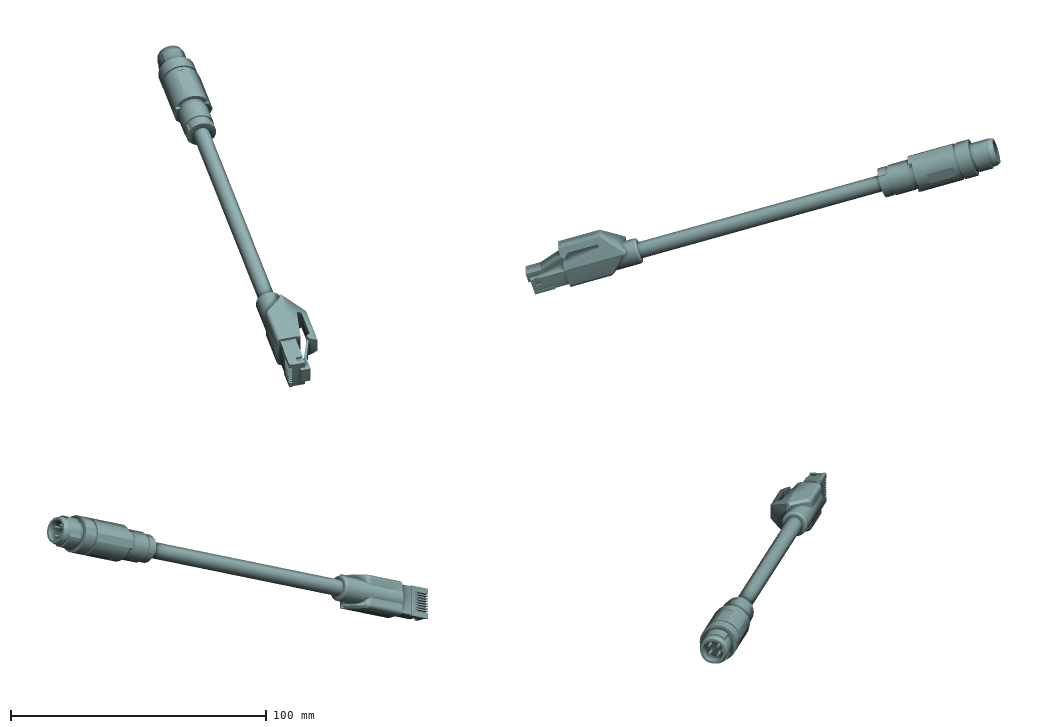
import cadquery as cq
import math

TOTAL_LENGTH = 191.95
TOTAL_WIDTH = 19.5

NOSE_RADIUS = 5.6
NOSE_CHAMFER_LENGTH = 1.7
NOSE_CHAMFER_HEIGHT = 0.5
PAD_START = 2.9
PAD_END = 8.4
PAD_RADIUS = 6.2
PAD_BACK = 3.2
UPPER_PAD_FRONT = -4.1
LOWER_PAD_FRONT = -5.4
RING_START = 9.4
RING_END = 14.6
RING_RADIUS = 7.395
RING_FLAT_HALF_WIDTH = 1.45
GROOVE_RADIUS = 6.8
GRIP_START = 15.6
GRIP_ROUND_END = 32.7
GRIP_RIDGE_END = 34.0
RIDGE_HALF_WIDTH = 3.2
RIDGE_PEAK_BACK = 8.1
LABEL_START = 16.9
LABEL_END = 28.0
LABEL_HALF_WIDTH = 2.1
NECK_RADIUS = 5.9
COLLAR_START = 34.8
COLLAR_END = 42.9
COLLAR_RADIUS = 6.15
SLEEVE_END = 47.1
SLEEVE_RADIUS = 5.65
SLEEVE_PAD_START = 43.9
SLEEVE_PAD_RADIUS = 5.95

SOCKET_RADIUS = 4.2
SOCKET_DEPTH = 6.0
PIN_OFFSET = 1.75
PIN_RADIUS = 0.55
PIN_SETBACK = 1.0
ROOT_EMBED = 0.5
KEY_WIDTH = 1.2
KEY_HEIGHT = 0.8

CABLE_RADIUS = 3.25
BOOT_START = 146.6
BOOT_RADIUS = 5.1
BOOT_EDGE_FILLET = 1.0

HOUSING_END = 176.4
HOUSING_HALF_WIDTH = 6.8
HOUSING_TOP = 3.7
HOUSING_BOTTOM = -4.4
HOUSING_SLOPE_START = 151.3
HOUSING_SLOPE_END = 158.9
HOUSING_FILLET = 1.6
SLOPE_CHAMFER = 0.9

GUARD_BASE = 3.2
GUARD_TOP = TOTAL_WIDTH - RING_RADIUS
GUARD_TOP_START = 159.2
GUARD_TOP_HALF_WIDTH = 2.9
GUARD_TAPER_START = 4.0
SLOT_START = 160.7
SLOT_TOP = 9.8
SLOT_FLOOR_START = 7.9
SLOT_FLOOR_END = 5.2
HOOK_START = 173.1
HOOK_TIP = 175.2
HOOK_TIP_HEIGHT = 7.8
HOOK_END_HEIGHT = 9.0

PLUG_END = 190.7
PLUG_HALF_WIDTH = 5.75
PLUG_HALF_HEIGHT = 3.2
STEP_DEPTH = 0.25
FLANGE_START = 182.3
FLANGE_TOP = -2.0
FLANGE_HALF_WIDTH = 6.05
CONTACT_COUNT = 8
CONTACT_PITCH = 1.02
CONTACT_START = 184.1
CONTACT_STEP = 186.0
CONTACT_SLOT_WIDTH = 0.6
CONTACT_SHALLOW = 0.5
CONTACT_DEEP = 1.2
NOTCH_START = 187.0
NOTCH_END = 189.2
NOTCH_BOTTOM = 0.3
NOTCH_DEPTH = 0.8

LATCH_HALF_WIDTH = 3.2
LATCH_START = 175.2
LATCH_START_HEIGHT = 8.9
LATCH_BEND = 185.6
LATCH_TOP = 5.1
LATCH_UNDERSIDE = 4.0
LATCH_THICKNESS = 0.95
LATCH_TAB_BOTTOM = 1.3


def x_cylinder(start, end, radius):
    """Cylinder around the cable axis between two stations."""
    return cq.Workplane("YZ", origin=(start, 0, 0)).circle(radius).extrude(end - start)


def block(x_range, y_range, z_range):
    """Axis-aligned box given by its limits."""
    (x0, x1), (y0, y1), (z0, z1) = x_range, y_range, z_range
    return cq.Workplane("XY").box(x1 - x0, y1 - y0, z1 - z0, centered=False).translate((x0, y0, z0))


def slab(points, half_width):
    """Outline in X and Y, extruded equally to both sides in Z."""
    return cq.Workplane("XY").polyline(points).close().extrude(half_width, both=True)


def make_nose():
    nose = x_cylinder(0, GRIP_START, NOSE_RADIUS)
    nose = nose.faces("<X").chamfer(NOSE_CHAMFER_LENGTH, NOSE_CHAMFER_HEIGHT)
    pads = x_cylinder(PAD_START, PAD_END, PAD_RADIUS)
    upper_limits = block((PAD_START, PAD_END), (UPPER_PAD_FRONT, PAD_BACK), (0, PAD_RADIUS))
    lower_limits = block((PAD_START, PAD_END), (LOWER_PAD_FRONT, PAD_BACK), (-PAD_RADIUS, 0))
    upper = pads.intersect(upper_limits)
    lower = pads.intersect(lower_limits)
    return nose.union(upper).union(lower)


def cut_socket(body):
    """Blind socket with four contact pins and a locating key at -Y."""
    body = body.cut(x_cylinder(0, SOCKET_DEPTH, SOCKET_RADIUS))
    for y in (-PIN_OFFSET, PIN_OFFSET):
        for z in (-PIN_OFFSET, PIN_OFFSET):
            pin = x_cylinder(PIN_SETBACK, SOCKET_DEPTH + ROOT_EMBED, PIN_RADIUS)
            body = body.union(pin.translate((0, y, z)))
    key = block(
        (PIN_SETBACK, SOCKET_DEPTH + ROOT_EMBED),
        (-(SOCKET_RADIUS + NOSE_RADIUS) / 2, KEY_HEIGHT - SOCKET_RADIUS),
        (-KEY_WIDTH / 2, KEY_WIDTH / 2),
    )
    return body.union(key)


def make_ring():
    """Smooth ring with a narrow flat at -Y, followed by a groove."""
    ring = x_cylinder(RING_START, RING_END, RING_RADIUS)
    flat_y = -math.sqrt(RING_RADIUS**2 - RING_FLAT_HALF_WIDTH**2)
    ring = ring.cut(
        block(
            (RING_START, RING_END),
            (-RING_RADIUS, flat_y),
            (-RING_FLAT_HALF_WIDTH, RING_FLAT_HALF_WIDTH),
        )
    )
    return ring.union(x_cylinder(RING_END, GRIP_START, GROOVE_RADIUS))


def make_grip():
    """Round grip with a roof-shaped ridge along its -Y and +Y sides and label recesses at +-Z."""
    shoulder_y = math.sqrt(RING_RADIUS**2 - RIDGE_HALF_WIDTH**2)
    grip = (
        cq.Workplane("YZ", origin=(GRIP_START, 0, 0))
        .moveTo(-RING_RADIUS, 0)
        .lineTo(-shoulder_y, RIDGE_HALF_WIDTH)
        .threePointArc((0, RING_RADIUS), (shoulder_y, RIDGE_HALF_WIDTH))
        .lineTo(RIDGE_PEAK_BACK, 0)
        .lineTo(shoulder_y, -RIDGE_HALF_WIDTH)
        .threePointArc((0, -RING_RADIUS), (-shoulder_y, -RIDGE_HALF_WIDTH))
        .close()
        .extrude(GRIP_RIDGE_END - GRIP_START)
    )
    label_z = math.sqrt(RING_RADIUS**2 - LABEL_HALF_WIDTH**2)
    for side in (-1, 1):
        z_label = sorted((side * label_z, side * 2 * RING_RADIUS))
        grip = grip.cut(block((LABEL_START, LABEL_END), (-LABEL_HALF_WIDTH, LABEL_HALF_WIDTH), z_label))
        z_trim = sorted((side * RIDGE_HALF_WIDTH, side * 2 * RING_RADIUS))
        grip = grip.cut(
            block((GRIP_ROUND_END, GRIP_RIDGE_END), (-RIDGE_PEAK_BACK, RIDGE_PEAK_BACK), z_trim)
        )
    return grip


def make_collar():
    """Neck, round collar and sleeve with a raised pad on its -Y and +Y sides."""
    neck = x_cylinder(GRIP_START, COLLAR_START, NECK_RADIUS)
    collar = x_cylinder(COLLAR_START, COLLAR_END, COLLAR_RADIUS)
    sleeve = x_cylinder(COLLAR_END, SLEEVE_END, SLEEVE_RADIUS)
    pad_limits = block(
        (SLEEVE_PAD_START, SLEEVE_END),
        (-SLEEVE_PAD_RADIUS, SLEEVE_PAD_RADIUS),
        (-RIDGE_HALF_WIDTH, RIDGE_HALF_WIDTH),
    )
    pads = x_cylinder(SLEEVE_PAD_START, SLEEVE_END, SLEEVE_PAD_RADIUS).intersect(pad_limits)
    return neck.union(collar).union(sleeve).union(pads)


def make_boot():
    """Round strain relief that runs on as a bulge along the -Y side of the housing."""
    boot = x_cylinder(BOOT_START, HOUSING_END, BOOT_RADIUS)
    return boot.faces("<X").edges().fillet(BOOT_EDGE_FILLET)


def make_housing():
    """Block with a chamfered sloping rear face and rounded -Y edges."""
    outline = [
        (HOUSING_SLOPE_START, HOUSING_TOP),
        (HOUSING_END, HOUSING_TOP),
        (HOUSING_END, HOUSING_BOTTOM),
        (HOUSING_SLOPE_END, HOUSING_BOTTOM),
    ]
    housing = slab(outline, HOUSING_HALF_WIDTH)
    housing = housing.edges("|X and <Y").fillet(HOUSING_FILLET)
    return housing.faces("<X").edges("not(|Z)").chamfer(SLOPE_CHAMFER)


def make_guard():
    """Tapered fin that shields the free end of the latch lever."""
    outline = [
        (HOUSING_SLOPE_START, GUARD_BASE),
        (HOUSING_SLOPE_START, GUARD_TAPER_START),
        (GUARD_TOP_START, GUARD_TOP),
        (HOUSING_END, GUARD_TOP),
        (HOUSING_END, HOOK_END_HEIGHT),
        (HOOK_TIP, HOOK_TIP_HEIGHT),
        (HOOK_START, SLOT_TOP),
        (SLOT_START, SLOT_TOP),
        (SLOT_START, SLOT_FLOOR_START),
        (HOUSING_END, SLOT_FLOOR_END),
        (HOUSING_END, GUARD_BASE),
    ]
    section = [
        (GUARD_BASE, -HOUSING_HALF_WIDTH),
        (GUARD_TAPER_START, -HOUSING_HALF_WIDTH),
        (GUARD_TOP, -GUARD_TOP_HALF_WIDTH),
        (GUARD_TOP, GUARD_TOP_HALF_WIDTH),
        (GUARD_TAPER_START, HOUSING_HALF_WIDTH),
        (GUARD_BASE, HOUSING_HALF_WIDTH),
    ]
    taper = cq.Workplane("YZ").polyline(section).close().extrude(TOTAL_LENGTH)
    return slab(outline, HOUSING_HALF_WIDTH).intersect(taper)


def make_plug():
    """Modular plug body with contact slots on its -Y side."""
    plug_y = (-PLUG_HALF_HEIGHT, PLUG_HALF_HEIGHT)
    plug = block((HOUSING_SLOPE_END, PLUG_END), plug_y, (-PLUG_HALF_WIDTH, PLUG_HALF_WIDTH))
    flange = block(
        (FLANGE_START, PLUG_END),
        (-PLUG_HALF_HEIGHT, FLANGE_TOP),
        (-FLANGE_HALF_WIDTH, FLANGE_HALF_WIDTH),
    )
    plug = plug.union(flange)
    step = block(
        (HOUSING_END, FLANGE_START),
        (-PLUG_HALF_HEIGHT, STEP_DEPTH - PLUG_HALF_HEIGHT),
        (-PLUG_HALF_WIDTH, PLUG_HALF_WIDTH),
    )
    plug = plug.cut(step)
    for index in range(CONTACT_COUNT):
        z = (index - (CONTACT_COUNT - 1) / 2) * CONTACT_PITCH
        slot_z = (z - CONTACT_SLOT_WIDTH / 2, z + CONTACT_SLOT_WIDTH / 2)
        shallow_y = (-PLUG_HALF_HEIGHT, CONTACT_SHALLOW - PLUG_HALF_HEIGHT)
        deep_y = (-PLUG_HALF_HEIGHT, CONTACT_DEEP - PLUG_HALF_HEIGHT)
        plug = plug.cut(block((CONTACT_START, CONTACT_STEP), shallow_y, slot_z))
        plug = plug.cut(block((CONTACT_STEP, PLUG_END), deep_y, slot_z))
    for side in (-1, 1):
        notch_z = sorted((side * (PLUG_HALF_WIDTH - NOTCH_DEPTH), side * 2 * PLUG_HALF_WIDTH))
        plug = plug.cut(block((NOTCH_START, NOTCH_END), (NOTCH_BOTTOM, PLUG_HALF_HEIGHT), notch_z))
    return plug


def make_latch():
    """Springy lever from the plug tip back to the hook of the guard."""
    outline = [
        (LATCH_START, LATCH_START_HEIGHT),
        (LATCH_BEND, LATCH_TOP),
        (TOTAL_LENGTH, LATCH_TOP),
        (TOTAL_LENGTH, LATCH_TAB_BOTTOM),
        (NOTCH_START, LATCH_TAB_BOTTOM),
        (NOTCH_START, LATCH_UNDERSIDE),
        (LATCH_BEND, LATCH_UNDERSIDE),
        (LATCH_START, LATCH_START_HEIGHT - LATCH_THICKNESS),
    ]
    return slab(outline, LATCH_HALF_WIDTH)


round_connector = cut_socket(make_nose()).union(make_ring()).union(make_grip()).union(make_collar())
cable = x_cylinder(COLLAR_END, BOOT_START + BOOT_RADIUS, CABLE_RADIUS)
modular_plug = make_boot().union(make_housing()).union(make_guard()).union(make_plug()).union(make_latch())
result = round_connector.union(cable).union(modular_plug)